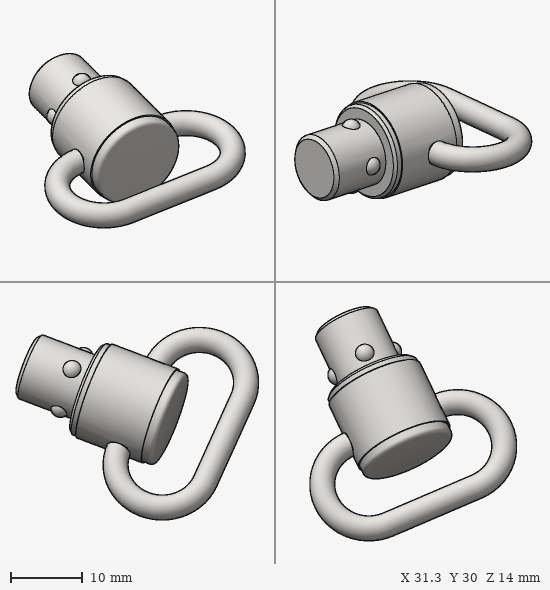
import cadquery as cq
import math

PIN_RADIUS = 4.75
PIN_CHAMFER = 0.53
PIN_LENGTH = 8.98

BALL_RADIUS = 1.38
BALL_X = 6.7
BALL_TIP_RADIUS = 5.5
BALL_COUNT = 4

BARREL_RADIUS = 6.995
COLLAR_RADIUS = 6.8
BARREL_START_X = 10.15
BARREL_END_X = 20.0
HEAD_END_X = 21.57
COLLAR_CHAMFER = 0.4
END_ROUND = 0.6
DOME_HEIGHT = 0.2

TOTAL_LENGTH = 31.3
LOOP_WIDTH = 30.0
WIRE_RADIUS = 1.75
BEND_RADIUS = 6.48

loop_bar_x = TOTAL_LENGTH - WIRE_RADIUS
loop_end_x = loop_bar_x - 2 * BEND_RADIUS
bend_center_x = loop_bar_x - BEND_RADIUS
bend_center_y = LOOP_WIDTH / 2 - WIRE_RADIUS - BEND_RADIUS


def make_loop():
    """Round wire: a straight bar with a half-circle bend at each end."""
    bend_top_y = bend_center_y + BEND_RADIUS
    path = (
        cq.Workplane("XY")
        .moveTo(loop_end_x, bend_center_y)
        .threePointArc((bend_center_x, bend_top_y), (loop_bar_x, bend_center_y))
        .lineTo(loop_bar_x, -bend_center_y)
        .threePointArc((bend_center_x, -bend_top_y), (loop_end_x, -bend_center_y))
    )
    wire_section = cq.Workplane("XZ", origin=(loop_end_x, bend_center_y, 0)).circle(WIRE_RADIUS)
    return wire_section.sweep(path)


def make_turned_body():
    """Chamfered pin, stepped barrel and slightly domed rear face, turned about X."""
    round_middle = END_ROUND * (1 - math.sqrt(0.5))
    face_radius = COLLAR_RADIUS - END_ROUND
    dome_radius = (face_radius**2 + DOME_HEIGHT**2) / (2 * DOME_HEIGHT)
    dome_middle_radius = face_radius / 2
    dome_middle_x = HEAD_END_X + DOME_HEIGHT - dome_radius + math.sqrt(dome_radius**2 - dome_middle_radius**2)
    profile = (
        cq.Workplane("XY")
        .lineTo(0, PIN_RADIUS - PIN_CHAMFER)
        .lineTo(PIN_CHAMFER, PIN_RADIUS)
        .lineTo(PIN_LENGTH, PIN_RADIUS)
        .lineTo(PIN_LENGTH, COLLAR_RADIUS - COLLAR_CHAMFER)
        .lineTo(PIN_LENGTH + COLLAR_CHAMFER, COLLAR_RADIUS)
        .lineTo(BARREL_START_X, COLLAR_RADIUS)
        .lineTo(BARREL_START_X, BARREL_RADIUS)
        .lineTo(BARREL_END_X, BARREL_RADIUS)
        .lineTo(BARREL_END_X, COLLAR_RADIUS)
        .lineTo(HEAD_END_X - END_ROUND, COLLAR_RADIUS)
        .threePointArc(
            (HEAD_END_X - round_middle, COLLAR_RADIUS - round_middle),
            (HEAD_END_X, face_radius),
        )
        .threePointArc((dome_middle_x, dome_middle_radius), (HEAD_END_X + DOME_HEIGHT, 0))
        .close()
    )
    return profile.revolve(360, (0, 0, 0), (1, 0, 0))


def add_locking_balls(body):
    """Ball ends protruding from the pin, equally spaced around its axis."""
    center_radius = BALL_TIP_RADIUS - BALL_RADIUS
    for index in range(BALL_COUNT):
        angle = index * 2 * math.pi / BALL_COUNT
        center = (BALL_X, center_radius * math.cos(angle), center_radius * math.sin(angle))
        body = body.union(cq.Workplane("XY").sphere(BALL_RADIUS).translate(center))
    return body


loop = make_loop()

housing = add_locking_balls(make_turned_body()).cut(loop).solids()

result = cq.Compound.makeCompound([housing.val(), loop.val()])